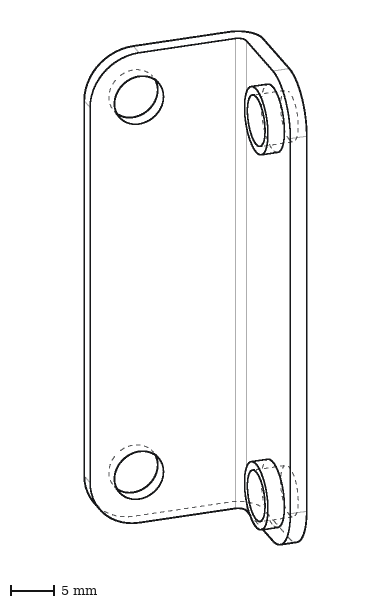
import cadquery as cq

width = 18.0
depth = 20.8
height = 59.5

thickness = 2.0
inner_bend_radius = 1.0
outer_bend_radius = inner_bend_radius + thickness

corner_radius = 6.0
hole_diameter = 6.0
collar_diameter = 8.0
collar_height = 2.0

hole_x = width - corner_radius
hole_y = corner_radius - depth
hole_heights = (corner_radius, height - corner_radius)


def angle_sheet():
    """L-shaped sheet with its outer bend corner at the origin."""
    outer = (
        cq.Workplane("XY")
        .rect(width, -depth, centered=False)
        .extrude(height)
        .edges("|Z and <X and >Y")
        .fillet(outer_bend_radius)
    )
    inside = (
        cq.Workplane("XY")
        .moveTo(thickness, -thickness)
        .rect(width, -depth, centered=False)
        .extrude(height)
        .edges("|Z and <X and >Y")
        .fillet(inner_bend_radius)
    )
    return outer.cut(inside)


def round_free_corners(bracket):
    """Round the two free corners of each flange."""
    bracket = bracket.edges("|Y and >X").fillet(corner_radius)
    return bracket.edges("|X and <Y").fillet(corner_radius)


def back_cylinder(z, diameter, length):
    """Cylinder along Y, starting at the outer face of the back flange."""
    return cq.Workplane("XZ").center(hole_x, z).circle(diameter / 2).extrude(length)


def side_hole(z):
    """Cutter through the side flange."""
    return cq.Workplane("YZ").center(hole_y, z).circle(hole_diameter / 2).extrude(thickness)


result = round_free_corners(angle_sheet())
collar_reach = thickness + collar_height
for hole_z in hole_heights:
    result = result.union(back_cylinder(hole_z, collar_diameter, collar_reach))
    result = result.cut(back_cylinder(hole_z, hole_diameter, collar_reach))
    result = result.cut(side_hole(hole_z))